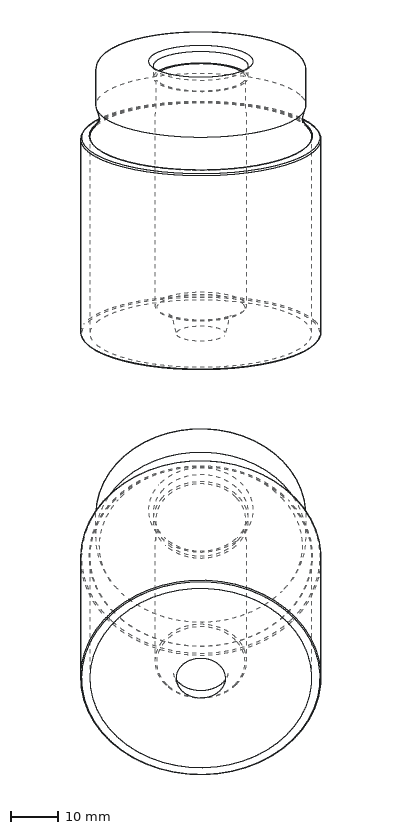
import cadquery as cq
import math

sleeve_radius = 25.4
sleeve_bore_radius = 23.4
sleeve_bottom_chamfer = 0.25
rim_inner_chamfer = 0.2
rim_height = 43.8
rim_slope_radius = 24.7
rim_slope_height = 43.55
rim_shoulder_radius = 25.15
rim_shoulder_height = 43.45
rim_edge_height = 43.1

core_height = 60.3
head_radius = 22.2
head_top_fillet = 2.0
head_lower_height = 50.55
head_cone_radius = 21.95
head_cone_height = 49.9
neck_cone_radius = 21.6
neck_cone_height = 48.5
neck_radius = 21.5
neck_upper_height = 47.85
neck_lower_height = 47.2
skirt_top_radius = 21.85
skirt_top_height = 46.05
skirt_bottom_height = 43.6

mouth_chamfer = 1.0
counterbore_radius = 10.0
counterbore_depth = 3.55
bore_radius = 9.5
bore_depth = 11.0
cavity_radius = 9.65
cavity_taper = 0.85
floor_edge_radius = 9.3
throat_lip_radius = 9.1
throat_radius = 5.8
outlet_radius = 5.2
outlet_height = 2.4
throat_round = throat_lip_radius - throat_radius
floor_height = outlet_height + throat_round


def revolve(profile):
    """Turn a closed (radius, height) profile about the vertical axis."""
    return profile.close().revolve(360, (0, 0, 0), (0, 1, 0))


def make_sleeve():
    profile = (
        cq.Workplane("XZ")
        .moveTo(sleeve_bore_radius, 0)
        .lineTo(sleeve_radius - sleeve_bottom_chamfer, 0)
        .lineTo(sleeve_radius, sleeve_bottom_chamfer)
        .lineTo(sleeve_radius, rim_edge_height)
        .lineTo(rim_shoulder_radius, rim_shoulder_height)
        .lineTo(rim_slope_radius, rim_slope_height)
        .lineTo(sleeve_bore_radius + rim_inner_chamfer, rim_height)
        .lineTo(sleeve_bore_radius, rim_height - rim_inner_chamfer)
    )
    return revolve(profile)


def make_core_blank():
    """Solid core, without its bore."""
    profile = (
        cq.Workplane("XZ")
        .moveTo(0, 0)
        .lineTo(sleeve_bore_radius, 0)
        .lineTo(sleeve_bore_radius, skirt_bottom_height)
        .lineTo(skirt_top_radius, skirt_top_height)
        .tangentArcPoint((neck_radius, neck_lower_height), relative=False)
        .lineTo(neck_radius, neck_upper_height)
        .tangentArcPoint((neck_cone_radius, neck_cone_height), relative=False)
        .lineTo(head_cone_radius, head_cone_height)
        .tangentArcPoint((head_radius, head_lower_height), relative=False)
        .lineTo(head_radius, core_height - head_top_fillet)
        .tangentArcPoint((head_radius - head_top_fillet, core_height), relative=False)
        .lineTo(0, core_height)
    )
    return revolve(profile)


def make_bore():
    """Tool shape of everything hollow inside the core."""
    round_middle = throat_round * math.sqrt(0.5)
    profile = (
        cq.Workplane("XZ")
        .moveTo(0, 0)
        .lineTo(outlet_radius, 0)
        .lineTo(throat_radius, outlet_height)
        .threePointArc(
            (throat_lip_radius - round_middle, outlet_height + round_middle),
            (throat_lip_radius, floor_height),
        )
        .lineTo(floor_edge_radius, floor_height)
        .lineTo(cavity_radius, floor_height + cavity_radius - floor_edge_radius)
        .lineTo(cavity_radius, core_height - bore_depth - cavity_taper)
        .lineTo(bore_radius, core_height - bore_depth)
        .lineTo(bore_radius, core_height - counterbore_depth)
        .lineTo(counterbore_radius, core_height - counterbore_depth)
        .lineTo(counterbore_radius, core_height - mouth_chamfer)
        .lineTo(counterbore_radius + mouth_chamfer, core_height)
        .lineTo(0, core_height)
    )
    return revolve(profile)


sleeve = make_sleeve()
core = make_core_blank().cut(make_bore())

result = cq.Compound.makeCompound([sleeve.val(), core.val()])